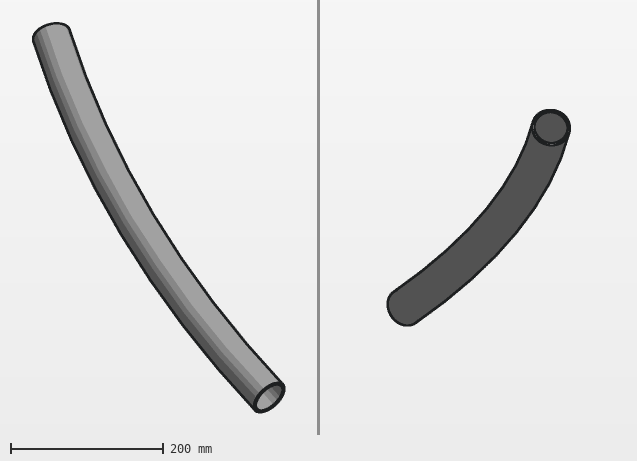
import cadquery as cq
import math

overall_length = 669.5
tube_diameter = 50.0
wall_thickness = 3.5
bend_angle = 22.5

outside_bend_radius = overall_length / math.sin(math.radians(bend_angle))
bend_radius = outside_bend_radius - tube_diameter / 2
bore_diameter = tube_diameter - 2 * wall_thickness

result = (
    cq.Workplane("YZ")
    .circle(tube_diameter / 2)
    .circle(bore_diameter / 2)
    .revolve(bend_angle, (bend_radius, 0, 0), (bend_radius, -1, 0))
)